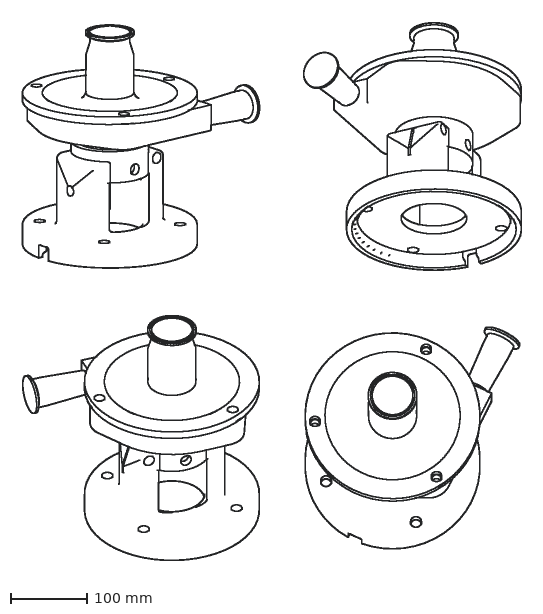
import cadquery as cq
import math

total_height = 290.5
flange_radius = 115.0

base_height = 29.3
base_edge_round = 3.0
base_bore_radius = 43.0
base_bore_round = 3.2
base_recess_depth = 16.3
base_recess_lip_round = 3.0
base_step_radius = 108.0
base_step_depth = 6.0
base_step_round = 4.0
base_hole_radius = 7.3
base_hole_circle = 92.7
base_hole_angles = (45, 135, 225, 315)
notch_width = 19.8
notch_height = 18.3
notch_depth = 14.5
notch_round = 3.0

leg_half_width = 39.2
leg_top = 127.0
leg_prow = 70.0
leg_prow_angle = 15.0
leg_prow_round = 10.5
leg_corner_round = 3.0
leg_roof_round = 10.2
leg_root_round = 5.0
leg_bore_radius = 52.0
ridge_hole_radius = 6.7
ridge_hole_height = 85.5
roof_start_height = 87.5
roof_corner_height = 122.0
clamp_slit_width = 3.0
clamp_hole_radius = 7.3
clamp_hole_y = 47.5
clamp_hole_height = 117.5

collar_radius = 51.0
collar_bottom = 98.2
collar_top = 141.0
neck_radius = 41.8
neck_round = 9.5
collar_hole_radius = 7.3
collar_hole_height = 113.3

casing_bottom = 160.6
casing_radius = 97.5
casing_edge_round = 2.0
boss_radius = 29.0
boss_lean = 36.0
lower_boss_angle = -30.0
rim_top = 206.8
rim_thickness = 10.5
rim_hole_radius = 7.0
rim_hole_inner_radius = 6.0
rim_hole_circle = 102.3
rim_hole_depth = 26.0
rim_hole_angles = (90, 210, 330)
bowl_radius = 89.0
bowl_slope_run = 11.0
bowl_floor_outer = 68.0
bowl_floor_inner = 52.3
bowl_depth = 14.8

inlet_radius = 31.7
inlet_lip_radius = 32.0
inlet_neck_radius = 26.5
inlet_cone_bottom = 258.5
inlet_cone_top = 275.7
face_groove_radius = 1.2
face_groove_circle = 28.0

lip_thickness = 3.2
lip_taper = 3.0

block_end = 87.7
outlet_x = 79.0
outlet_z = 177.5
outlet_tip = 170.0
outlet_lip_radius = 25.3
outlet_radius = 19.2
outlet_straight = 20.3
outlet_small_radius = 16.0
outlet_root_radius = 13.0
outlet_root_chamfer_start = 91.2
margin = 0.3
root_overlap = 3.0


def cylinder(radius, bottom, top):
    return cq.Workplane("XY", origin=(0, 0, bottom)).circle(radius).extrude(top - bottom)


def selection_box(half_x, y_range, z_range, whole_edges=False):
    """Selects edges inside a box centred on x = 0, enlarged by a small margin."""
    return cq.selectors.BoxSelector(
        (-half_x - margin, y_range[0] - margin, z_range[0] - margin),
        (half_x + margin, y_range[1] + margin, z_range[1] + margin),
        boundingbox=whole_edges,
    )


def polar(radius, angle, center_x=0, center_y=0):
    turn = math.radians(angle)
    return (center_x + radius * math.cos(turn), center_y + radius * math.sin(turn))


def ring_points(radius, angles):
    return [polar(radius, angle) for angle in angles]


def make_base():
    base = cylinder(flange_radius, 0, base_height)
    return base.faces(">Z").edges().fillet(base_edge_round)


def make_leg():
    """Leg on the -Y side: a ridged column with a sloped roof."""
    corner_y = leg_prow - leg_half_width * math.tan(math.radians(leg_prow_angle))
    column = (
        cq.Workplane("XY", origin=(0, 0, base_height))
        .moveTo(-leg_half_width, 0)
        .lineTo(-leg_half_width, -corner_y)
        .lineTo(0, -leg_prow)
        .lineTo(leg_half_width, -corner_y)
        .lineTo(leg_half_width, 0)
        .close()
        .extrude(leg_top - base_height)
    )
    column = column.edges("|Z").edges("<Y").fillet(leg_prow_round)
    corners = selection_box(leg_half_width, (-corner_y, -corner_y), (base_height, leg_top))
    column = column.edges("|Z").edges(corners).fillet(leg_corner_round)

    roof_slope = (leg_prow - corner_y) / (roof_corner_height - roof_start_height)
    roof_top_y = leg_prow - roof_slope * (leg_top - roof_start_height)
    roofed_block = (
        cq.Workplane("YZ")
        .moveTo(0, base_height)
        .lineTo(-leg_prow, base_height)
        .lineTo(-leg_prow, roof_start_height)
        .lineTo(-roof_top_y, leg_top)
        .lineTo(0, leg_top)
        .close()
        .extrude(leg_half_width, both=True)
    )
    roofed_block = roofed_block.faces(">Z").edges("<Y").fillet(leg_roof_round)
    roof_sides = selection_box(leg_half_width, (-leg_prow, -leg_corner_round), (roof_start_height, leg_top))
    roofed_block = roofed_block.faces("|X").edges(roof_sides).fillet(leg_corner_round)
    column = column.intersect(roofed_block)
    return column.cut(cylinder(leg_bore_radius, base_height, collar_bottom))


def make_base_recess():
    """Underside recess whose wall flares out in an S curve to the step."""
    lip_radius = base_step_radius - base_step_round
    wall_radius = lip_radius - base_recess_lip_round
    return (
        cq.Workplane("XZ")
        .lineTo(base_step_radius, 0)
        .lineTo(base_step_radius, base_step_depth - base_step_round)
        .radiusArc((lip_radius, base_step_depth), -base_step_round)
        .radiusArc((wall_radius, base_step_depth + base_recess_lip_round), base_recess_lip_round)
        .lineTo(wall_radius, base_recess_depth)
        .lineTo(0, base_recess_depth)
        .close()
        .revolve(360, (0, 0), (0, 1))
    )


def make_stand():
    front_leg = make_leg()
    back_leg = front_leg.mirror("XZ")
    stand = make_base().union(front_leg).union(back_leg)

    leg_roots = selection_box(
        leg_half_width, (-leg_prow, leg_prow), (base_height, base_height), whole_edges=True
    )
    stand = stand.edges(leg_roots).fillet(leg_root_round)

    stand = stand.cut(cylinder(base_bore_radius, 0, base_height))
    bore_rim = selection_box(
        base_bore_radius,
        (-base_bore_radius, base_bore_radius),
        (base_height, base_height),
        whole_edges=True,
    )
    stand = stand.edges(bore_rim).fillet(base_bore_round)
    stand = stand.cut(make_base_recess())

    holes = (
        cq.Workplane("XY")
        .pushPoints(ring_points(base_hole_circle, base_hole_angles))
        .circle(base_hole_radius)
        .extrude(base_height)
    )
    notch = (
        cq.Workplane("XY", origin=(0, -flange_radius, 0))
        .rect(notch_width, 2 * notch_depth)
        .extrude(notch_height)
        .faces(">Z").edges("|Y").fillet(notch_round)
    )
    ridge_hole = (
        cq.Workplane("XZ", origin=(0, 0, ridge_hole_height))
        .circle(ridge_hole_radius)
        .extrude(leg_prow)
    )
    slit_bottom = ridge_hole_height - ridge_hole_radius
    clamp_slit = cq.Workplane("XY", origin=(0, 0, slit_bottom)).center(0, leg_prow / 2)
    clamp_slit = clamp_slit.rect(clamp_slit_width, leg_prow).extrude(leg_top - slit_bottom)
    return stand.cut(holes).cut(notch).cut(ridge_hole).cut(clamp_slit)


def make_collar():
    """Collar and neck joining the legs to the casing."""
    collar = cylinder(collar_radius, collar_bottom, collar_top)
    neck = (
        cq.Workplane("XZ")
        .moveTo(0, collar_bottom)
        .lineTo(neck_radius, collar_bottom)
        .lineTo(neck_radius, casing_bottom - neck_round)
        .radiusArc((neck_radius + neck_round, casing_bottom), neck_round)
        .lineTo(0, casing_bottom)
        .close()
        .revolve(360, (0, 0), (0, 1))
    )
    cross_hole = (
        cq.Workplane("YZ", origin=(0, 0, collar_hole_height))
        .circle(collar_hole_radius)
        .extrude(collar_radius, both=True)
    )
    return collar.cut(cross_hole).union(neck)


def make_casing():
    """Casing drum with three bosses, the outlet block and the dished rim."""
    boss_circle = (casing_radius - boss_radius) / math.cos(math.radians(boss_lean))
    boss_x = boss_circle * math.cos(math.radians(lower_boss_angle))
    boss_y = boss_circle * math.sin(math.radians(lower_boss_angle))
    side = boss_x + boss_radius
    upper_lean = math.degrees(math.acos((side - boss_radius) / boss_circle))
    drum_end = lower_boss_angle - boss_lean
    upper_end = 90 - upper_lean
    body_height = rim_top - rim_thickness - casing_bottom

    half_casing = (
        cq.Workplane("XY", origin=(0, 0, casing_bottom))
        .moveTo(0, -casing_radius)
        .threePointArc(polar(casing_radius, (drum_end - 90) / 2), polar(casing_radius, drum_end))
        .lineTo(*polar(boss_radius, drum_end, boss_x, boss_y))
        .threePointArc(polar(boss_radius, drum_end / 2, boss_x, boss_y), (side, boss_y))
        .lineTo(side, 0)
        .threePointArc(polar(side, upper_end / 2), polar(side, upper_end))
        .lineTo(*polar(boss_radius, upper_end, 0, boss_circle))
        .threePointArc(
            polar(boss_radius, 90 - upper_lean / 2, 0, boss_circle), (0, boss_circle + boss_radius)
        )
        .close()
        .extrude(body_height)
    )
    casing = half_casing.union(half_casing.mirror("YZ"))
    block = (
        cq.Workplane("XY", origin=(0, 0, casing_bottom))
        .rect(side, block_end, centered=False)
        .extrude(body_height)
    )
    casing = casing.union(block)
    casing = casing.faces("<Z").edges().fillet(casing_edge_round)
    casing = casing.union(cylinder(flange_radius, rim_top - rim_thickness, rim_top))

    floor = rim_top - bowl_depth
    slope_end = bowl_radius - bowl_slope_run
    bowl = (
        cq.Workplane("XZ")
        .moveTo(0, rim_top)
        .lineTo(bowl_radius, rim_top)
        .lineTo(slope_end, rim_top - bowl_slope_run)
        .radiusArc((bowl_floor_outer, floor), (slope_end - bowl_floor_outer) * math.sqrt(2))
        .lineTo(bowl_floor_inner, floor)
        .radiusArc((inlet_radius, rim_top), bowl_floor_inner - inlet_radius)
        .lineTo(0, rim_top)
        .close()
        .revolve(360, (0, 0), (0, 1))
    )
    rim_bottom = rim_top - rim_thickness
    hole_points = ring_points(rim_hole_circle, rim_hole_angles)
    for radius, bottom in (
        (rim_hole_radius, rim_bottom),
        (rim_hole_inner_radius, rim_top - rim_hole_depth),
    ):
        holes = cq.Workplane("XY", origin=(0, 0, bottom)).pushPoints(hole_points)
        casing = casing.cut(holes.circle(radius).extrude(rim_top - bottom))
    return casing.cut(bowl)


def make_inlet():
    """Inlet tube with a coned neck, ferrule lip and grooved end face."""
    lip_bottom = total_height - lip_thickness
    inlet = (
        cq.Workplane("XZ")
        .moveTo(0, casing_bottom)
        .lineTo(inlet_radius, casing_bottom)
        .lineTo(inlet_radius, inlet_cone_bottom)
        .lineTo(inlet_neck_radius, inlet_cone_top)
        .lineTo(inlet_neck_radius, lip_bottom - lip_taper)
        .lineTo(inlet_lip_radius, lip_bottom)
        .lineTo(inlet_lip_radius, total_height)
        .lineTo(0, total_height)
        .close()
        .revolve(360, (0, 0), (0, 1))
    )
    groove = (
        cq.Workplane("XZ")
        .center(face_groove_circle, total_height)
        .circle(face_groove_radius)
        .revolve(360, (-face_groove_circle, 0), (-face_groove_circle, 1))
    )
    return inlet.cut(groove)


def make_outlet():
    """Tapered nozzle pointing along +Y from the outlet block."""
    lip_back = outlet_tip - lip_thickness
    return (
        cq.Workplane("XY", origin=(outlet_x, 0, outlet_z))
        .moveTo(0, block_end - root_overlap)
        .lineTo(outlet_root_radius, block_end - root_overlap)
        .lineTo(outlet_root_radius, block_end)
        .lineTo(outlet_small_radius, outlet_root_chamfer_start)
        .lineTo(outlet_radius, outlet_tip - outlet_straight)
        .lineTo(outlet_radius, lip_back - lip_taper)
        .lineTo(outlet_lip_radius, lip_back)
        .lineTo(outlet_lip_radius, outlet_tip)
        .lineTo(0, outlet_tip)
        .close()
        .revolve(360, (0, 0), (0, 1))
    )


clamp_hole = (
    cq.Workplane("YZ", origin=(0, clamp_hole_y, clamp_hole_height))
    .circle(clamp_hole_radius)
    .extrude(leg_half_width, both=True)
)

result = (
    make_stand()
    .union(make_collar())
    .cut(clamp_hole)
    .union(make_casing())
    .union(make_inlet())
    .union(make_outlet())
)